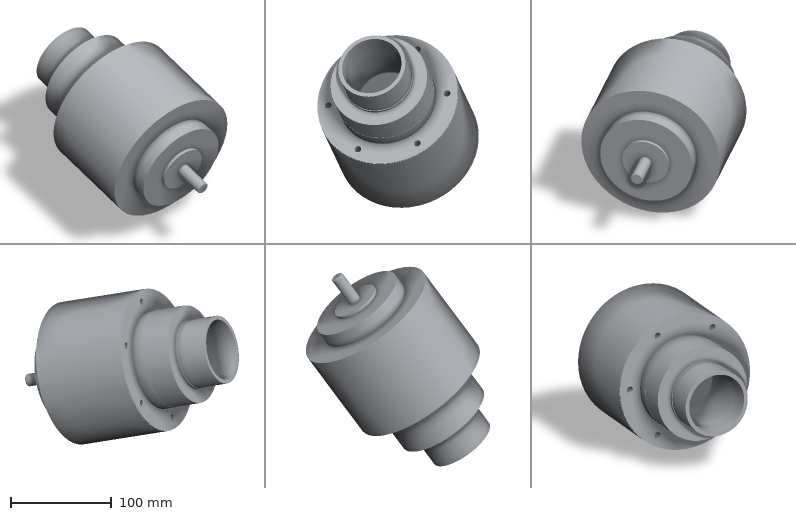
import cadquery as cq
import math

tube_end = 30.3
collar_end = 33.0
front_ring_end = 61.3
rear_ring_end = 74.0
rim_end = 74.6
body_end = 171.5
spigot_end = 172.0
cover_end = 187.5
boss_end = 191.0
shaft_end = 222.8

tube_radius = 34.0
collar_radius = 35.0
front_ring_radius = 49.0
rear_ring_radius = 49.2
rim_radius = 71.3
body_radius = 71.5
spigot_radius = 47.2
cover_radius = 47.5
boss_radius = 23.8
shaft_radius = 6.2
bore_radius = 30.0

shaft_chamfer = 0.7

hole_count = 6
hole_circle_radius = 60.4
hole_radius = 3.3
hole_depth = 20.0
drill_point_angle = 118


def disc(start, end, radius):
    """Solid cylinder on the X axis between two stations."""
    return cq.Workplane("YZ", origin=(start, 0, 0)).circle(radius).extrude(end - start)


def shaft():
    """Output shaft with a chamfered tip."""
    return disc(boss_end, shaft_end, shaft_radius).faces(">X").chamfer(shaft_chamfer)


def mounting_holes():
    """Ring of drilled holes with conical bottoms."""
    half_angle = drill_point_angle / 2
    point_length = hole_radius / math.tan(math.radians(half_angle))
    drill_profile = (
        cq.Workplane("XY")
        .moveTo(rear_ring_end, 0)
        .lineTo(rear_ring_end, hole_radius)
        .lineTo(rear_ring_end + hole_depth, hole_radius)
        .lineTo(rear_ring_end + hole_depth + point_length, 0)
        .close()
    )
    drill = drill_profile.revolve(360, (0, 0, 0), (1, 0, 0)).translate((0, hole_circle_radius, 0))
    holes = cq.Workplane("XY")
    for index in range(hole_count):
        holes = holes.add(drill.rotate((0, 0, 0), (1, 0, 0), index * 360 / hole_count))
    return holes.combine()


result = (
    disc(0, tube_end, tube_radius)
    .union(disc(tube_end, collar_end, collar_radius))
    .union(disc(collar_end, front_ring_end, front_ring_radius))
    .union(disc(front_ring_end, rear_ring_end, rear_ring_radius))
    .union(disc(rear_ring_end, rim_end, rim_radius))
    .union(disc(rim_end, body_end, body_radius))
    .union(disc(body_end, spigot_end, spigot_radius))
    .union(disc(spigot_end, cover_end, cover_radius))
    .union(disc(cover_end, boss_end, boss_radius))
    .union(shaft())
)

result = result.cut(disc(0, rear_ring_end, bore_radius))
result = result.cut(mounting_holes())

result = result.translate((-shaft_end / 2, 0, 0))